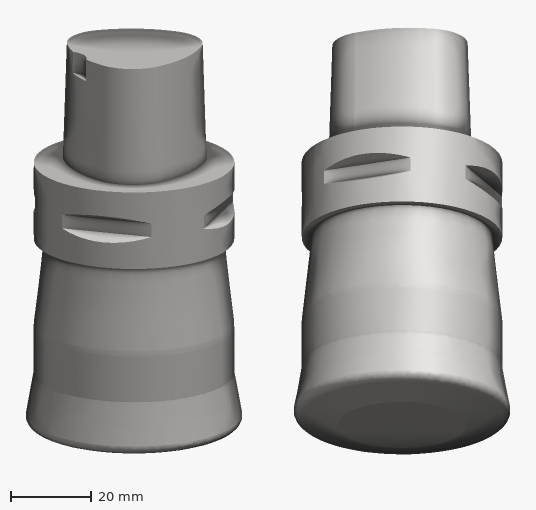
import cadquery as cq
import math

total_height = 100.0
flange_top = 70.0
flange_bottom = 50.0
neck_bottom = 27.8
neck_edge_margin = 1.0
seat_height = 13.2

body_radius = 25.0
neck_top_radius = 22.5
neck_blend_radius = 13.0

head_rim_height = 15.2
head_corner_radius = 27.3
head_corner_height = 2.3
head_bottom_radius = 16.0
head_rounding = 2.0

shank_base = (18.8, 16.4, 14.7)
shank_end = (17.9, 15.4, 13.6)
seam_half_width = 10.0
lobe_count = 3

keyway_radius = 6.0
keyway_floor = 14.0
keyway_height = 5.5

groove_count = 4
groove_start_angle = 45.0
groove_floor = 22.1
groove_floor_width = 3.5
groove_side_angle = 30.0
groove_height = (flange_top + flange_bottom) / 2


def polar(radius, angle):
    """Point at a radius and an angle in degrees."""
    return (radius * math.cos(math.radians(angle)), radius * math.sin(math.radians(angle)))


def shank_section(workplane, lobe_reach, flank_reach, seam_depth):
    """Closed three-lobed outline of alternating flank arcs and lobe arcs."""
    sector = 360.0 / lobe_count
    seam_radius = math.hypot(seam_half_width, seam_depth)
    seam_offset = math.degrees(math.atan2(seam_half_width, seam_depth))
    first_flank = -90.0
    outline = workplane.moveTo(*polar(seam_radius, first_flank - seam_offset))
    for i in range(lobe_count):
        flank = first_flank + i * sector
        outline = outline.threePointArc(
            polar(flank_reach, flank), polar(seam_radius, flank + seam_offset)
        )
        outline = outline.threePointArc(
            polar(lobe_reach, flank + sector / 2),
            polar(seam_radius, flank + sector - seam_offset),
        )
    return outline.close()


def make_shank():
    """Tapered shank with its keyway on the -Y flank."""
    base = shank_section(cq.Workplane().workplane(offset=flange_top), *shank_base)
    both = shank_section(base.workplane(offset=total_height - flange_top), *shank_end)
    shank = both.loft(ruled=True)
    keyway = (
        cq.Workplane()
        .workplane(offset=total_height - keyway_height)
        .center(0, -keyway_floor - keyway_radius)
        .circle(keyway_radius)
        .extrude(keyway_height)
    )
    return shank.cut(keyway)


def make_groove():
    """Straight gripper groove on the +X side, widening outward."""
    depth = body_radius - groove_floor
    half_floor = groove_floor_width / 2
    half_mouth = half_floor + depth * math.tan(math.radians(groove_side_angle))
    return (
        cq.Workplane("XZ")
        .polyline([
            (groove_floor, groove_height - half_floor),
            (body_radius, groove_height - half_mouth),
            (body_radius, groove_height + half_mouth),
            (groove_floor, groove_height + half_floor),
        ])
        .close()
        .extrude(body_radius, both=True)
    )


def make_adapter():
    """Shank, grooved flange, conical neck and cylindrical lower end."""
    adapter = (
        cq.Workplane("XZ")
        .polyline([
            (0, seat_height),
            (body_radius, seat_height),
            (body_radius, neck_bottom),
            (neck_top_radius, flange_bottom),
            (body_radius, flange_bottom),
            (body_radius, flange_top),
            (0, flange_top),
        ])
        .close()
        .revolve(360, (0, 0), (0, 1))
    )
    neck_edge = cq.selectors.BoxSelector(
        (-body_radius, -body_radius, neck_bottom - neck_edge_margin),
        (body_radius, body_radius, neck_bottom + neck_edge_margin),
    )
    adapter = adapter.edges("%CIRCLE").edges(neck_edge).fillet(neck_blend_radius)
    groove = make_groove()
    for i in range(groove_count):
        angle = groove_start_angle + i * 360.0 / groove_count
        adapter = adapter.cut(groove.rotate((0, 0, 0), (0, 0, 1), angle))
    return adapter.union(make_shank())


def make_head():
    """Flared head with a rounded lower corner and a recess for the adapter."""
    flare = (
        cq.Workplane("XZ")
        .polyline([
            (0, 0),
            (head_bottom_radius, 0),
            (head_corner_radius, head_corner_height),
            (body_radius, head_rim_height),
            (0, head_rim_height),
        ])
        .close()
        .revolve(360, (0, 0), (0, 1))
    )
    corner_edge = cq.selectors.RadiusNthSelector(-1)
    flare = flare.edges("%CIRCLE").edges(corner_edge).fillet(head_rounding)
    recess = (
        cq.Workplane()
        .workplane(offset=seat_height)
        .circle(body_radius)
        .extrude(head_rim_height - seat_height)
    )
    return flare.cut(recess)


adapter = make_adapter()
head = make_head()

result = cq.Compound.makeCompound([adapter.solids().val(), head.solids().val()])